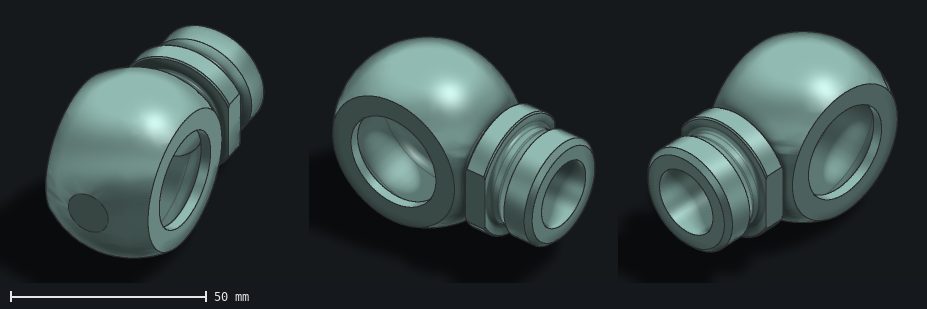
import cadquery as cq
import math

LENGTH = 66.8
BALL_RADIUS = 24.5
WIDTH = 30.0
NOSE_FLAT_RADIUS = 5.8

SPIGOT_RADIUS = WIDTH / 2
SPIGOT_CHAMFER = 1.5
LAND_LENGTH = 7.9
GROOVE_RADIUS = 13.5
GROOVE_TAPER = math.radians(30)
GROOVE_TAPER_FILLET = 1.35
COLLAR_RADIUS = 17.25
COLLAR_CHAMFER = 0.4
COLLAR_START = 13.9
COLLAR_WIDTH = 6.15
NECK_DIAMETER = 26.0
NECK_RADIUS = NECK_DIAMETER / 2
GROOVE_FILLET = 1.2
NECK_FILLET = 0.95
BALL_FILLET = 1.1

CROSS_BORE_RADIUS = 13.5
CHAMBER_RADIUS = 19.85
CHAMBER_WIDTH = 24.4
CHAMBER_CORNER_FILLET = 6.0
SPIGOT_BORE_RADIUS = 9.5

nose_y = -math.sqrt(BALL_RADIUS**2 - NOSE_FLAT_RADIUS**2)
spigot_end = nose_y + LENGTH
land_end = spigot_end - LAND_LENGTH
taper_end = land_end - (SPIGOT_RADIUS - GROOVE_RADIUS) / math.tan(GROOVE_TAPER)
collar_back = spigot_end - COLLAR_START
collar_front = collar_back - COLLAR_WIDTH


def make_ball():
    box_length = BALL_RADIUS - nose_y
    trim = cq.Workplane("XY").box(WIDTH, box_length, 2 * BALL_RADIUS)
    trim = trim.translate((0, (BALL_RADIUS + nose_y) / 2, 0))
    return cq.Workplane("XY").sphere(BALL_RADIUS).intersect(trim)


def revolve_about_y(profile):
    return profile.close().revolve(360, (0, 0, 0), (0, 1, 0))


def quarter_middle(radius):
    """Distance from a square corner to the middle of its fillet, along each side."""
    return radius * (1 - math.sqrt(0.5))


def make_spigot():
    """Chamfered land and groove, with the taper blended into the groove floor."""
    tangent = GROOVE_TAPER_FILLET * math.tan(GROOVE_TAPER / 2)
    blend_top = (
        GROOVE_RADIUS + tangent * math.sin(GROOVE_TAPER),
        taper_end + tangent * math.cos(GROOVE_TAPER),
    )
    blend_middle = (
        GROOVE_RADIUS + GROOVE_TAPER_FILLET * (1 - math.cos(GROOVE_TAPER / 2)),
        taper_end - tangent + GROOVE_TAPER_FILLET * math.sin(GROOVE_TAPER / 2),
    )
    middle = quarter_middle(GROOVE_FILLET)
    profile = (
        cq.Workplane("XY")
        .moveTo(0, spigot_end)
        .lineTo(SPIGOT_RADIUS - SPIGOT_CHAMFER, spigot_end)
        .lineTo(SPIGOT_RADIUS, spigot_end - SPIGOT_CHAMFER)
        .lineTo(SPIGOT_RADIUS, land_end)
        .lineTo(*blend_top)
        .threePointArc(blend_middle, (GROOVE_RADIUS, taper_end - tangent))
        .lineTo(GROOVE_RADIUS, collar_back + GROOVE_FILLET)
        .threePointArc(
            (GROOVE_RADIUS + middle, collar_back + middle),
            (GROOVE_RADIUS + GROOVE_FILLET, collar_back),
        )
        .lineTo(0, collar_back)
    )
    return revolve_about_y(profile)


def make_collar():
    """Chamfered round collar with two flats level with the ball faces."""
    collar = (
        cq.Workplane("XZ", origin=(0, collar_back, 0))
        .circle(COLLAR_RADIUS)
        .extrude(COLLAR_WIDTH)
        .edges()
        .chamfer(COLLAR_CHAMFER)
    )
    flats = cq.Workplane("XY").box(WIDTH, 2 * LENGTH, 2 * COLLAR_RADIUS)
    return collar.intersect(flats)


def make_neck():
    """Neck filleted into the collar and blended tangentially into the ball."""
    blend_x = NECK_RADIUS + BALL_FILLET
    reach = BALL_RADIUS + BALL_FILLET
    blend_y = math.sqrt(reach**2 - blend_x**2)
    contact = (blend_x * BALL_RADIUS / reach, blend_y * BALL_RADIUS / reach)
    half_angle = math.atan2(blend_y, blend_x) / 2
    blend_middle = (
        blend_x - BALL_FILLET * math.cos(half_angle),
        blend_y - BALL_FILLET * math.sin(half_angle),
    )
    middle = quarter_middle(NECK_FILLET)
    profile = (
        cq.Workplane("XY")
        .moveTo(0, collar_front)
        .lineTo(NECK_RADIUS + NECK_FILLET, collar_front)
        .threePointArc(
            (NECK_RADIUS + middle, collar_front - middle),
            (NECK_RADIUS, collar_front - NECK_FILLET),
        )
        .lineTo(NECK_RADIUS, blend_y)
        .threePointArc(blend_middle, contact)
        .lineTo(0, 0)
    )
    return revolve_about_y(profile)


def cylinder_along_x(radius, length):
    return cq.Workplane("YZ").circle(radius).extrude(length / 2, both=True)


def make_cavity():
    """Cross bore opening into a wide round-cornered chamber, fed by the spigot bore."""
    cross_bore = cylinder_along_x(CROSS_BORE_RADIUS, 2 * WIDTH)
    chamber = cylinder_along_x(CHAMBER_RADIUS, CHAMBER_WIDTH)
    chamber = chamber.faces("<X or >X").edges().fillet(CHAMBER_CORNER_FILLET)
    spigot_bore = cq.Workplane("XZ").circle(SPIGOT_BORE_RADIUS).extrude(-LENGTH)
    return cross_bore.union(chamber).union(spigot_bore)


body = make_ball().union(make_neck()).union(make_collar()).union(make_spigot())
result = body.cut(make_cavity())